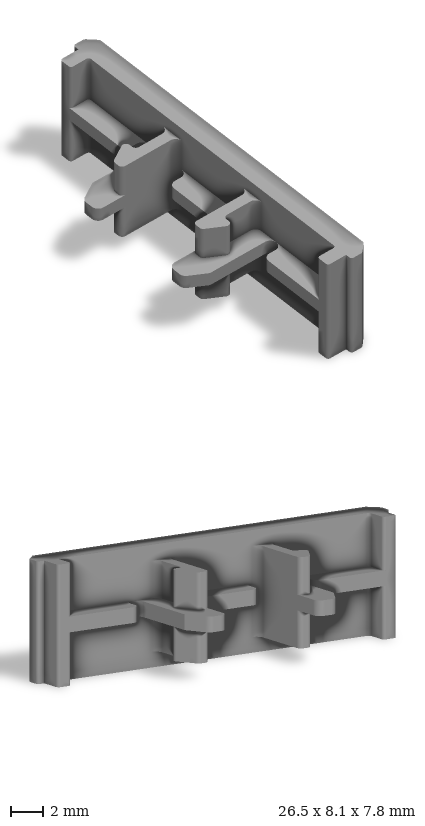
import cadquery as cq
import math


length = 26.5
height = 7.8
plate_thickness = 1.6
half_length = length / 2
back_chamfer = 0.7
chamfer_radius = 0.3
rail_depth = 1.5
rail_width = 1.0
rail_setback = 0.5
rail_outer_x = half_length - rail_setback
rail_inner_x = rail_outer_x - rail_width
edge_radius = 0.2

arm_inner_x = 3.4
arm_thickness = 0.8
arm_outer_x = arm_inner_x + arm_thickness
clip_height = 5.8
barb_top = -2.7
barb_end = -4.5
clip_radius = 0.3
lead_in_angle = math.radians(30)
barb_corner_x = arm_outer_x + (barb_top - barb_end) * math.tan(lead_in_angle)

web_thickness = 1.0
web_radius = 0.5
finger_width = 2.2
finger_outer_x = arm_inner_x + finger_width
finger_end = -6.5
finger_taper_start = -5.0
finger_tip_x = finger_outer_x - (finger_taper_start - finger_end) * math.tan(lead_in_angle)
notch_width = 1.0
notch_radius = notch_width / 2
rib_inner_end_x = arm_inner_x - notch_width
rib_outer_end_x = finger_outer_x + notch_width

overlap = plate_thickness / 2

tolerance = 1e-6


def rounded_prism(corners, prism_height):
    """Extrude a closed outline of (x, y, radius) corners, centred on Z = 0."""
    spans = []
    for i, (x, y, radius) in enumerate(corners):
        corner = cq.Vector(x, y)
        to_previous = (cq.Vector(*corners[i - 1][:2]) - corner).normalized()
        to_next = (cq.Vector(*corners[(i + 1) % len(corners)][:2]) - corner).normalized()
        half_angle = to_previous.getAngle(to_next) / 2
        setback = radius / math.tan(half_angle)
        bisector = (to_previous + to_next).normalized()
        apex = corner + bisector * (radius / math.sin(half_angle) - radius)
        spans.append((corner + to_previous * setback, apex, corner + to_next * setback, radius))

    edges = []
    position = spans[-1][2]
    for start, apex, end, radius in spans:
        if (start - position).Length > tolerance:
            edges.append(cq.Edge.makeLine(position, start))
        if radius > 0:
            edges.append(cq.Edge.makeThreePointArc(start, apex, end))
        position = end
    outline = cq.Wire.assembleEdges(edges)
    return cq.Workplane("XY").add(outline).toPending().extrude(prism_height / 2, both=True)


def mirrored_outline(right_half):
    """Complete a +X half outline with its mirror image about X = 0."""
    left_half = [(-x, y, radius) for x, y, radius in reversed(right_half)]
    return right_half + left_half


def make_plate():
    """Plate with chamfered back edges and a full-height rail along each end."""
    right_half = [
        (rail_inner_x, 0, edge_radius),
        (rail_inner_x, -rail_depth, edge_radius),
        (rail_outer_x, -rail_depth, edge_radius),
        (rail_outer_x, 0, 0),
        (half_length, 0, edge_radius),
        (half_length, plate_thickness - back_chamfer, chamfer_radius),
        (half_length - back_chamfer, plate_thickness, 0),
    ]
    return rounded_prism(mirrored_outline(right_half), height)


def make_web():
    """Three rib segments joined to two guide fingers inside the plate."""
    rail_middle_x = (rail_inner_x + rail_outer_x) / 2
    right_half = [
        (rib_inner_end_x, -rail_depth, web_radius),
        (rib_inner_end_x, 0, notch_radius),
        (arm_inner_x, 0, 0),
        (arm_inner_x, finger_end, web_radius),
        (finger_tip_x, finger_end, web_radius),
        (finger_outer_x, finger_taper_start, 0),
        (finger_outer_x, 0, notch_radius),
        (rib_outer_end_x, 0, notch_radius),
        (rib_outer_end_x, -rail_depth, web_radius),
        (rail_middle_x, -rail_depth, 0),
        (rail_middle_x, overlap, 0),
    ]
    return rounded_prism(mirrored_outline(right_half), web_thickness)


def make_clip():
    """Barbed arm on the +X side, with its barb facing outward and a filleted root."""
    root_inner_x = arm_inner_x - notch_radius
    root_outer_x = arm_outer_x + notch_radius
    corners = [
        (root_inner_x, overlap, 0),
        (root_inner_x, 0, 0),
        (arm_inner_x, 0, notch_radius),
        (arm_inner_x, barb_end, clip_radius),
        (arm_outer_x, barb_end, clip_radius),
        (barb_corner_x, barb_top, clip_radius),
        (arm_outer_x, barb_top, clip_radius),
        (arm_outer_x, 0, notch_radius),
        (root_outer_x, 0, 0),
        (root_outer_x, overlap, 0),
    ]
    return rounded_prism(corners, clip_height)


right_clip = make_clip()
left_clip = right_clip.mirror("YZ")
result = make_plate().union(make_web()).union(right_clip).union(left_clip)